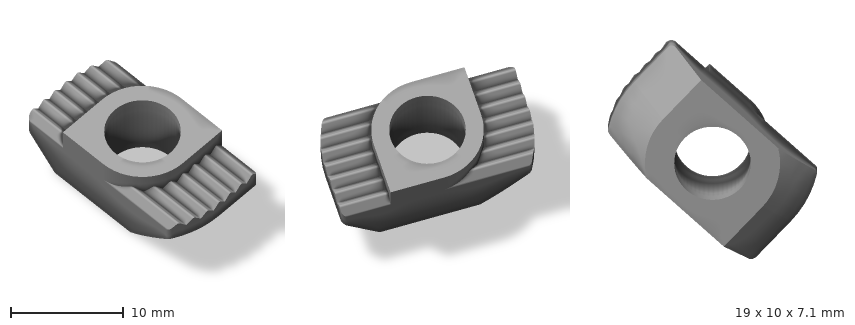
import cadquery as cq
import math

length = 19.0
width = 10.0
height = 7.1

swing_radius = length / 2
bottom_radius = 6.0
underside_height = swing_radius - bottom_radius
corner_radius = 0.5

neck_radius = width / 2
hole_radius = 3.4

tooth_count = 7
tooth_pitch = 1.4
root_height = 4.9
crest_radius = 0.19
edge_radius = 0.19


def swing_outline(radius):
    """Half-turn symmetric outline: two square corners and two swing arcs."""
    half_width = width / 2
    arc_end = math.sqrt(radius**2 - half_width**2)
    mid_angle = math.asin(half_width / radius) / 2
    mid_x = radius * math.cos(mid_angle)
    mid_y = radius * math.sin(mid_angle)
    return (
        cq.Workplane("XY")
        .moveTo(radius, 0)
        .lineTo(radius, half_width)
        .lineTo(-arc_end, half_width)
        .threePointArc((-mid_x, mid_y), (-radius, 0))
        .lineTo(-radius, -half_width)
        .lineTo(arc_end, -half_width)
        .threePointArc((mid_x, -mid_y), (radius, 0))
        .close()
    )


def make_flange():
    plan = swing_outline(swing_radius)
    return plan.extrude(height).edges("|Z").edges(">Y or <Y").fillet(corner_radius)


def make_underside_envelope():
    """Planar slopes on the square corners, cone slopes on the swing corners."""
    slope = (
        cq.Workplane("XZ", origin=(0, width / 2, 0))
        .moveTo(-bottom_radius, 0)
        .lineTo(bottom_radius, 0)
        .lineTo(swing_radius, underside_height)
        .lineTo(swing_radius, height)
        .lineTo(-swing_radius, height)
        .lineTo(-swing_radius, underside_height)
        .close()
        .extrude(width)
    )
    cone = (
        cq.Workplane("XZ")
        .lineTo(bottom_radius, 0)
        .lineTo(swing_radius, underside_height)
        .lineTo(swing_radius, height)
        .lineTo(0, height)
        .close()
        .revolve(360, (0, 0, 0), (0, 1, 0))
    )
    quadrant = cq.Workplane("XY").box(length, width, height, centered=False)
    square_quadrants = quadrant.union(quadrant.rotate((0, 0, 0), (0, 0, 1), 180))
    return cone.union(slope.intersect(square_quadrants))


def make_serrated_envelope():
    """Everything below the serrated face, extruded along the flange."""
    sin_45 = math.sin(math.pi / 4)
    flank_run = crest_radius * sin_45
    apex_height = root_height + tooth_pitch / 2
    tangent_height = apex_height - flank_run
    crest_height = apex_height - crest_radius * (math.sqrt(2) - 1)
    first_root = -tooth_count * tooth_pitch / 2

    half_width = width / 2
    roll_start = half_width - edge_radius * (1 - sin_45)
    roll_start_height = root_height - (roll_start + first_root)
    roll_end_height = roll_start_height - edge_radius * sin_45
    roll_mid = half_width - edge_radius * (1 - math.cos(math.pi / 8))
    roll_mid_height = roll_end_height + edge_radius * math.sin(math.pi / 8)

    profile = (
        cq.Workplane("YZ", origin=(-length / 2, 0, 0))
        .moveTo(-half_width, 0)
        .lineTo(-half_width, roll_end_height)
        .threePointArc((-roll_mid, roll_mid_height), (-roll_start, roll_start_height))
    )
    for tooth in range(tooth_count):
        crest = first_root + (tooth + 0.5) * tooth_pitch
        profile = (
            profile.lineTo(crest - flank_run, tangent_height)
            .threePointArc((crest, crest_height), (crest + flank_run, tangent_height))
        )
        if tooth < tooth_count - 1:
            profile = profile.lineTo(crest + tooth_pitch / 2, root_height)
    return (
        profile.lineTo(roll_start, roll_start_height)
        .threePointArc((roll_mid, roll_mid_height), (half_width, roll_end_height))
        .lineTo(half_width, 0)
        .close()
        .extrude(length)
    )


def make_neck():
    return swing_outline(neck_radius).extrude(height)


upper_envelope = make_serrated_envelope().union(make_neck())
hole = cq.Workplane("XY").circle(hole_radius).extrude(height)

result = make_flange().intersect(make_underside_envelope()).intersect(upper_envelope).cut(hole)